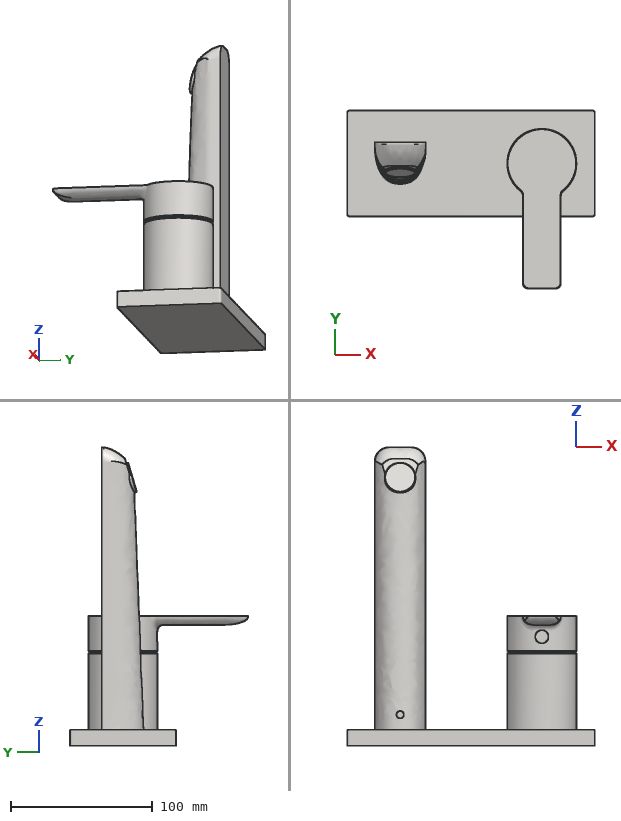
import cadquery as cq
import math

PLATE_LENGTH = 175.0
PLATE_WIDTH = 75.0
PLATE_HEIGHT = 11.5
PLATE_CORNER_RADIUS = 2.0
PLATE_TOP_FILLET = 1.2

COLUMN_SPACING = 100.0
SPOUT_X = -COLUMN_SPACING / 2
SPOUT_TOP = 210.75
SPOUT_HALF_WIDTH = 18.0
SPOUT_BACK_Y = 15.0
SPOUT_BACK_BAND = 1.5
SPOUT_FOOT_DEPTH = 30.0
SPOUT_TOP_DEPTH = 22.0
FRONT_EXPONENT = 2.3
FRONT_POINTS = 8

HEAD_SECTIONS = [
    (SPOUT_BACK_BAND, 0.0, 10.3),
    (11.0, 3.8, 12.0),
    (19.0, 10.6, 14.5),
    (31.0, 24.0, 17.5),
]

OUTLET_Y = -6.8
OUTLET_Z = 189.5
OUTLET_TILT = 16.5
OUTLET_DIAMETER = 21.8
OUTLET_THICKNESS = 1.4
OUTLET_ROOT = 3.0
OUTLET_CHAMFER = 0.4
SEAT_CUTTER_DIAMETER = 60.0
SEAT_CUTTER_LENGTH = 30.0

SPOUT_RECESS_DIAMETER = 5.2
SPOUT_RECESS_Z = 22.0
RECESS_DEPTH = 0.5
RECESS_CUTTER_LENGTH = 2.0

MIXER_X = COLUMN_SPACING / 2
MIXER_RADIUS = 24.5
MIXER_TOP = 91.75
GROOVE_Z = 66.1
GROOVE_WIDTH = 2.2
GROOVE_FLOOR_WIDTH = 1.0
GROOVE_DEPTH = 0.6
TOP_CHAMFER = 0.4

LEVER_TIP_Y = -88.36
LEVER_HALF_WIDTH = 13.5
LEVER_RIM = 0.5
LEVER_FLAT_HALF_WIDTH = 6.0
LEVER_THICKNESS = 6.5
LEVER_CORNER_RADIUS = 4.0
LEVER_TIP_CURVE = 17.0
LEVER_ROOT_FILLET = 4.0
ROOT_SELECTION_MARGIN = 1.0

MIXER_RECESS_DIAMETER = 9.3
MIXER_RECESS_Z = 77.0


def make_plate():
    plate = cq.Workplane("XY").box(PLATE_LENGTH, PLATE_WIDTH, PLATE_HEIGHT, centered=(True, True, False))
    plate = plate.edges("|Z").fillet(PLATE_CORNER_RADIUS)
    return plate.faces(">Z").edges().fillet(PLATE_TOP_FILLET)


def facing_front(x, y, z):
    """Plane at a point, looking out toward -Y with its own Y axis upright."""
    return cq.Plane(origin=(x, y, z), xDir=(1, 0, 0), normal=(0, -1, 0))


def spout_section(workplane, depth):
    """Flat back with a short straight band, closed by half a superellipse at the front."""
    band_y = SPOUT_BACK_Y - SPOUT_BACK_BAND
    front_y = SPOUT_BACK_Y - depth
    left = SPOUT_X - SPOUT_HALF_WIDTH
    right = SPOUT_X + SPOUT_HALF_WIDTH
    power = 2 / FRONT_EXPONENT
    front = []
    for i in range(1, FRONT_POINTS):
        angle = math.pi * i / FRONT_POINTS
        across = math.copysign(abs(math.cos(angle)) ** power, math.cos(angle))
        forward = math.sin(angle) ** power
        front.append((SPOUT_X - SPOUT_HALF_WIDTH * across, band_y - (band_y - front_y) * forward))
    front.append((right, band_y))
    return (
        workplane.moveTo(right, band_y)
        .lineTo(right, SPOUT_BACK_Y)
        .lineTo(left, SPOUT_BACK_Y)
        .lineTo(left, band_y)
        .spline(front, tangents=[(0, -1), (0, 1)], includeCurrent=True)
        .close()
    )


def head_outline(back_distance, crest_drop, corner_radius):
    """Upright outline with two round top corners, at a distance in front of the flat back."""
    crest = SPOUT_TOP - crest_drop
    shoulder = crest - corner_radius
    flat_half = SPOUT_HALF_WIDTH - corner_radius
    diagonal = corner_radius * math.sqrt(0.5)
    plane = facing_front(SPOUT_X, SPOUT_BACK_Y - back_distance, 0)
    return (
        cq.Workplane(plane)
        .moveTo(-SPOUT_HALF_WIDTH, 0)
        .lineTo(SPOUT_HALF_WIDTH, 0)
        .lineTo(SPOUT_HALF_WIDTH, shoulder)
        .threePointArc((flat_half + diagonal, shoulder + diagonal), (flat_half, crest))
        .lineTo(-flat_half, crest)
        .threePointArc((-flat_half - diagonal, shoulder + diagonal), (-SPOUT_HALF_WIDTH, shoulder))
        .close()
    )


def make_spout():
    foot = spout_section(cq.Workplane("XY"), SPOUT_FOOT_DEPTH)
    column = spout_section(foot.workplane(offset=SPOUT_TOP), SPOUT_TOP_DEPTH).loft(ruled=True)

    outlines = [head_outline(*section).wire().val() for section in HEAD_SECTIONS]
    dome = cq.Workplane(cq.Solid.makeLoft(outlines))
    band = head_outline(0, *HEAD_SECTIONS[0][1:]).extrude(SPOUT_BACK_BAND)
    return column.intersect(band.union(dome))


def outlet_plane():
    tilt = math.radians(OUTLET_TILT)
    return cq.Plane(
        origin=(SPOUT_X, OUTLET_Y, OUTLET_Z),
        xDir=(1, 0, 0),
        normal=(0, -math.cos(tilt), math.sin(tilt)),
    )


def add_outlet(spout):
    """Cut a flat tilted seat into the head and set the outlet disc on it."""
    plane = outlet_plane()
    seat_plane = cq.Workplane(plane).workplane(offset=-OUTLET_THICKNESS)
    seat_cut = seat_plane.circle(SEAT_CUTTER_DIAMETER / 2).extrude(SEAT_CUTTER_LENGTH)
    disc = (
        cq.Workplane(plane)
        .circle(OUTLET_DIAMETER / 2)
        .extrude(-OUTLET_THICKNESS - OUTLET_ROOT)
        .edges("<Y")
        .chamfer(OUTLET_CHAMFER)
    )
    return spout.cut(seat_cut).union(disc)


def recess(x, floor_y, z, diameter):
    """Cutter for a round recess that opens toward -Y and has a flat floor."""
    return cq.Workplane(facing_front(x, floor_y, z)).circle(diameter / 2).extrude(RECESS_CUTTER_LENGTH)


def spout_front_y(z):
    """Y of the leaning front ridge at height z."""
    depth = SPOUT_FOOT_DEPTH + (SPOUT_TOP_DEPTH - SPOUT_FOOT_DEPTH) * z / SPOUT_TOP
    return SPOUT_BACK_Y - depth


def make_lever():
    """Flat-topped lever with a bowed underside that curves up at the tip."""
    rim_z = MIXER_TOP - LEVER_RIM
    bottom_z = MIXER_TOP - LEVER_THICKNESS
    flank = LEVER_HALF_WIDTH - LEVER_FLAT_HALF_WIDTH
    bar = (
        cq.Workplane("XZ")
        .moveTo(MIXER_X - LEVER_HALF_WIDTH, MIXER_TOP)
        .lineTo(MIXER_X - LEVER_HALF_WIDTH, rim_z)
        .ellipseArc(flank, rim_z - bottom_z, 180, 270, startAtCurrent=True)
        .lineTo(MIXER_X + LEVER_FLAT_HALF_WIDTH, bottom_z)
        .ellipseArc(flank, rim_z - bottom_z, 270, 360, startAtCurrent=True)
        .lineTo(MIXER_X + LEVER_HALF_WIDTH, MIXER_TOP)
        .close()
        .extrude(-LEVER_TIP_Y)
        .edges("|Z and <Y")
        .fillet(LEVER_CORNER_RADIUS)
    )
    side = (
        cq.Workplane("YZ", origin=(MIXER_X, 0, 0))
        .moveTo(0, MIXER_TOP)
        .lineTo(LEVER_TIP_Y, MIXER_TOP)
        .lineTo(LEVER_TIP_Y, rim_z)
        .ellipseArc(LEVER_TIP_CURVE, rim_z - bottom_z, 180, 270, startAtCurrent=True)
        .lineTo(0, bottom_z)
        .close()
        .extrude(LEVER_HALF_WIDTH, both=True)
    )
    return bar.intersect(side)


def make_mixer():
    body = cq.Workplane("XY").center(MIXER_X, 0).circle(MIXER_RADIUS).extrude(MIXER_TOP)
    mixer = body.union(make_lever())

    root_y = -math.sqrt(MIXER_RADIUS**2 - LEVER_HALF_WIDTH**2)
    margin = ROOT_SELECTION_MARGIN
    root_box = cq.selectors.BoxSelector(
        (MIXER_X - LEVER_HALF_WIDTH - margin, -MIXER_RADIUS - margin, MIXER_TOP - LEVER_THICKNESS - margin),
        (MIXER_X + LEVER_HALF_WIDTH + margin, root_y + margin, MIXER_TOP - LEVER_RIM / 4),
    )
    mixer = mixer.edges(root_box).fillet(LEVER_ROOT_FILLET)
    mixer = mixer.faces(">Z").edges().chamfer(TOP_CHAMFER)

    floor_radius = MIXER_RADIUS - GROOVE_DEPTH
    outer_radius = MIXER_RADIUS + GROOVE_DEPTH
    groove = (
        cq.Workplane("XZ", origin=(MIXER_X, 0, GROOVE_Z))
        .moveTo(floor_radius, -GROOVE_FLOOR_WIDTH / 2)
        .lineTo(MIXER_RADIUS, -GROOVE_WIDTH / 2)
        .lineTo(outer_radius, -GROOVE_WIDTH / 2)
        .lineTo(outer_radius, GROOVE_WIDTH / 2)
        .lineTo(MIXER_RADIUS, GROOVE_WIDTH / 2)
        .lineTo(floor_radius, GROOVE_FLOOR_WIDTH / 2)
        .close()
        .revolve(360, (0, 0, 0), (0, 1, 0))
    )
    return mixer.cut(groove)


spout_recess = recess(
    SPOUT_X, spout_front_y(SPOUT_RECESS_Z) + RECESS_DEPTH, SPOUT_RECESS_Z, SPOUT_RECESS_DIAMETER
)
mixer_recess = recess(MIXER_X, -MIXER_RADIUS + RECESS_DEPTH, MIXER_RECESS_Z, MIXER_RECESS_DIAMETER)

spout = add_outlet(make_spout()).cut(spout_recess)
mixer = make_mixer().cut(mixer_recess)
result = make_plate().union(spout).union(mixer)